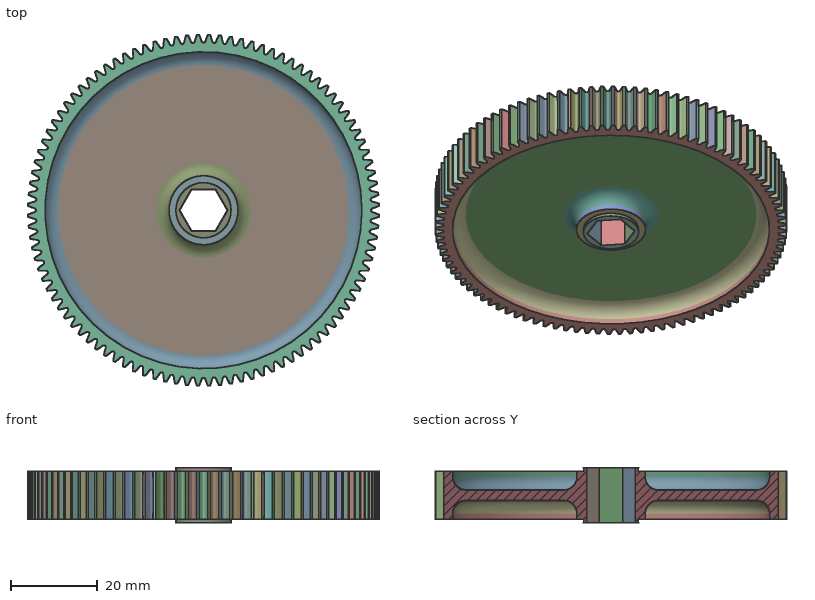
import cadquery as cq
import math

INCH = 25.4

TEETH = 100
MODULE = INCH / 32
PRESSURE_ANGLE = math.radians(20)
PITCH_RADIUS = MODULE * TEETH / 2
BASE_RADIUS = PITCH_RADIUS * math.cos(PRESSURE_ANGLE)
TIP_RADIUS = PITCH_RADIUS + MODULE
FLANK_START_RADIUS = PITCH_RADIUS - MODULE
TOOTH_STEP = 2 * math.pi / TEETH
FLANK_POINTS = 4
FLANK_RELIEF = 0.05

FACE_WIDTH = INCH * 7 / 16
HUB_LENGTH = INCH / 2
WEB_THICKNESS = 2.5

COLLAR_DIAMETER = INCH / 2
BOSS_DIAMETER = INCH * 5 / 8
RIM_INNER_DIAMETER = 73.0
WEB_FILLET = 3.0
HEX_ACROSS_FLATS = INCH * 3 / 8


def polar(radius, angle):
    """Point at a radius and angle about the gear axis."""
    return (radius * math.cos(angle), radius * math.sin(angle))


def involute(angle):
    """Involute function: roll-off of an involute at a given pressure angle."""
    return math.tan(angle) - angle


def half_tooth_angle(radius):
    """Half of the angle one tooth spans at a radius, less the flank relief."""
    local_pressure_angle = math.acos(BASE_RADIUS / radius)
    half_angle_at_pitch = TOOTH_STEP / 4 - FLANK_RELIEF / PITCH_RADIUS
    return half_angle_at_pitch + involute(PRESSURE_ANGLE) - involute(local_pressure_angle)


def gap_bottom_radius():
    """Radius at the bottom of a gap, as low as an arc tangent to both flanks reaches."""
    half_gap_angle = TOOTH_STEP / 2 - half_tooth_angle(FLANK_START_RADIUS)
    flank_slope = half_gap_angle + math.acos(BASE_RADIUS / FLANK_START_RADIUS)
    arc_radius = FLANK_START_RADIUS * math.sin(half_gap_angle) / math.cos(flank_slope)
    arc_center = FLANK_START_RADIUS * math.cos(half_gap_angle) + arc_radius * math.sin(flank_slope)
    return arc_center - arc_radius


def toothed_blank():
    """Gear body with a tooth gap centred on the +X axis; each gap is one smooth curve."""
    radius_step = (TIP_RADIUS - FLANK_START_RADIUS) / (FLANK_POINTS - 1)
    flank_radii = [FLANK_START_RADIUS + i * radius_step for i in range(FLANK_POINTS)]
    bottom_radius = gap_bottom_radius()
    outline = cq.Workplane("XY").workplane(offset=-FACE_WIDTH / 2)
    outline = outline.moveTo(*polar(TIP_RADIUS, half_tooth_angle(TIP_RADIUS) - TOOTH_STEP / 2))
    for gap in range(TEETH):
        middle = gap * TOOTH_STEP
        tooth_before = middle - TOOTH_STEP / 2
        tooth_after = middle + TOOTH_STEP / 2
        falling = [polar(r, tooth_before + half_tooth_angle(r)) for r in reversed(flank_radii)]
        rising = [polar(r, tooth_after - half_tooth_angle(r)) for r in flank_radii]
        bottom = polar(bottom_radius, middle)
        next_tip = polar(TIP_RADIUS, tooth_after + half_tooth_angle(TIP_RADIUS))
        outline = outline.spline(falling[1:] + [bottom] + rising, includeCurrent=True)
        outline = outline.threePointArc(polar(TIP_RADIUS, tooth_after), next_tip)
    return outline.close().extrude(FACE_WIDTH)


def web_recess():
    """Ring-shaped recess in the upper face, rounded where its walls meet the web."""
    depth = (FACE_WIDTH - WEB_THICKNESS) / 2
    return (
        cq.Workplane("XY")
        .workplane(offset=WEB_THICKNESS / 2)
        .circle(RIM_INNER_DIAMETER / 2)
        .circle(BOSS_DIAMETER / 2)
        .extrude(depth)
        .faces("<Z")
        .edges()
        .fillet(WEB_FILLET)
    )


def collar():
    """Hub cylinder that stands proud of both faces."""
    return cq.Workplane("XY").circle(COLLAR_DIAMETER / 2).extrude(HUB_LENGTH / 2, both=True)


def hex_bore():
    """Through bore with two flats facing +Y and -Y."""
    across_corners = HEX_ACROSS_FLATS / math.cos(math.pi / 6)
    return cq.Workplane("XY").polygon(6, across_corners).extrude(HUB_LENGTH / 2, both=True)


upper_recess = web_recess()
lower_recess = upper_recess.mirror("XY")
result = toothed_blank().cut(upper_recess).cut(lower_recess).union(collar()).cut(hex_bore())